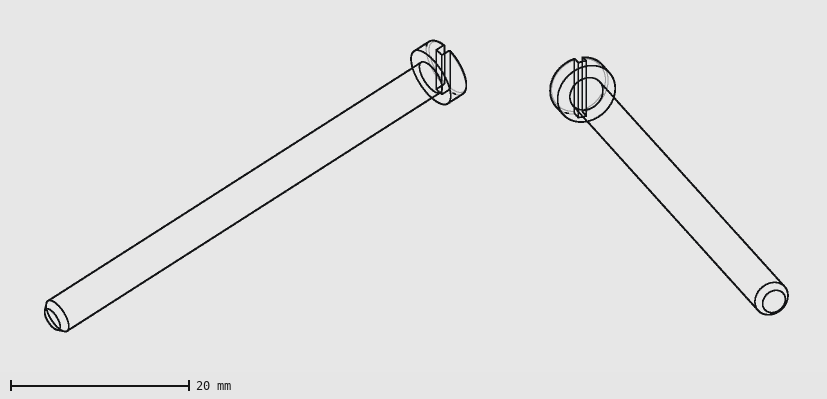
import cadquery as cq

total_length = 57.4
head_diameter = 7.0
head_height = 2.4
head_edge_radius = 0.25
shank_diameter = 4.0
tip_diameter = 2.75
tip_length = 0.75
slot_width = 1.0
slot_depth = 1.2

head_top = total_length / 2
head_seat = head_top - head_height
tip_end = -total_length / 2


def make_shank():
    """Plain cylinder with a conical lead-in at the -Y end."""
    profile = (
        cq.Workplane("XY")
        .moveTo(0, tip_end)
        .lineTo(tip_diameter / 2, tip_end)
        .lineTo(shank_diameter / 2, tip_end + tip_length)
        .lineTo(shank_diameter / 2, head_seat)
        .lineTo(0, head_seat)
        .close()
    )
    return profile.revolve(360, (0, 0, 0), (0, 1, 0))


def make_head():
    """Disc head with a rounded outer rim."""
    disc = cq.Workplane("XZ", origin=(0, head_top, 0)).circle(head_diameter / 2).extrude(head_height)
    return disc.faces(">Y").edges().fillet(head_edge_radius)


def make_slot():
    """Screwdriver slot running across the head along Z."""
    return (
        cq.Workplane("XY")
        .box(slot_width, slot_depth, head_diameter)
        .translate((0, head_top - slot_depth / 2, 0))
    )


result = make_shank().union(make_head()).cut(make_slot())